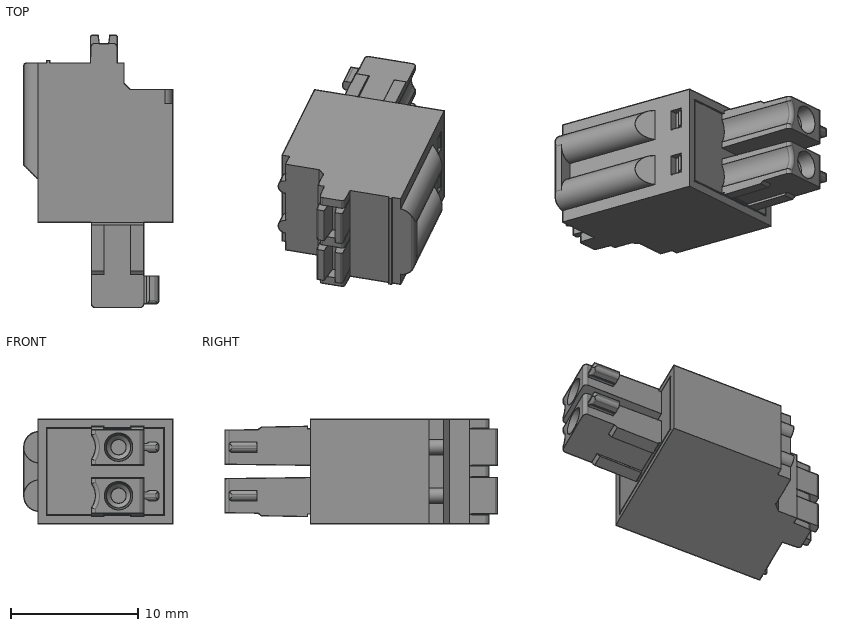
import cadquery as cq


body_width = 10.6
body_height = 8.22
body_depth = 12.52
pole_offset = 1.9
poles = (-1, 1)
overlap = 0.21
step_x = 6.76
step_chamfer = 0.5
right_depth = 10.45
rib_x = 0.68
rib_width = 0.25
rib_length = 0.2

seam_margin = 0.66
seam_width = 0.06
seam_depth = 0.1

ridge_radius = 1.25
ridge_height = 1.11
ridge_start = 3.4
ridge_rear_fillet = 0.24
web_length = 0.73

notch_pin_diameter = 1.2
notch_width = notch_pin_diameter / 2
notch_length = 1.11

tongue_left = 4.13
tongue_right = 6.25
tongue_top = 14.04
tongue_taper = 0.06
tongue_fillet = 0.24
latch_top = 14.7
latch_half_height = 1.43
latch_gap = 0.05
latch_fillet = 0.17
slot_bottom = 13.05
slot_bottom_width = 0.47
slot_top_width = 0.9

window_front = 0.83
window_length = 0.98
window_height = 1.58
window_depth = 0.65
tooth_height = 1.22
tooth_land = 0.3
tooth_ramp = 0.45
tooth_inset = 0.05

sleeve_left = 4.2
sleeve_right = 8.32
sleeve_length = 6.7
sleeve_root_half = 1.43
sleeve_tip_half = 1.35
tip_fillet = 0.32
groove_radius = 1.55
groove_depth = 0.32
bore_x = 6.33
bore_mouth_diameter = 2.23
bore_inner_diameter = 1.9
bore_length = 1.2
pilot_diameter = 1.2
collar_half = 1.45
rail_start = 0.21
rail_end = 3.83
rail_run_out = 4.15
rail_base_half = 1.07
rail_root_half = 1.65
rail_tip_half = 1.58
rail_left_width = 0.98
rail_right_width = 1.05

pin_length = 1.18
pin_rear = 4.2
pin_front = 6.4
pin_neck_length = 0.21
pin_flare_end = 0.43
pin_neck_half = 0.28
pin_head_half = 0.4
pin_end_fillet = 0.32
pin_front_fillet = 0.28
pin_corner_fillet = 0.25


def block(x0, x1, y0, y1, z0, z1):
    """Box given by its limits along each axis."""
    return cq.Workplane("XY").box(x1 - x0, y1 - y0, z1 - z0, centered=False).translate((x0, y0, z0))


def plan_prism(points, z0, z1):
    """Outline in X, Y extruded from z0 to z1."""
    return cq.Workplane("XY").workplane(offset=z0).polyline(points).close().extrude(z1 - z0)


def side_prism(points, x0, x1):
    """Outline in Y, Z extruded from x0 to x1."""
    return cq.Workplane("YZ").workplane(offset=x0).polyline(points).close().extrude(x1 - x0)


def front_cylinder(radius, x, z, y0, y1):
    """Cylinder along Y."""
    return cq.Workplane("XZ").workplane(offset=-y1).center(x, z).circle(radius).extrude(y1 - y0)


def make_housing():
    """Stepped housing block with a thin rib on its rear face."""
    half = body_height / 2
    outline = [
        (0, 0),
        (0, body_depth),
        (step_x, body_depth),
        (step_x, right_depth + step_chamfer),
        (step_x + step_chamfer, right_depth),
        (body_width, right_depth),
        (body_width, 0),
    ]
    housing = plan_prism(outline, -half, half)
    rib = block(rib_x, rib_x + rib_width, body_depth - overlap, body_depth + rib_length, -half, half)
    return housing.union(rib)


def make_seam():
    """Narrow rectangular groove in the front face."""
    x0, x1 = seam_margin, body_width - seam_margin
    z1 = body_height / 2 - seam_margin
    w = seam_width
    outer = block(x0, x1, 0, seam_depth, -z1, z1)
    inner = block(x0 + w, x1 - w, 0, seam_depth, w - z1, z1 - w)
    return outer.cut(inner)


def make_ridges():
    """Ridges and the web joining them, all trimmed by one plan outline."""
    center_x = ridge_radius - ridge_height
    ridges = block(-ridge_height, center_x, body_depth - web_length, body_depth, -pole_offset, pole_offset)
    for side in poles:
        ridges = ridges.union(
            front_cylinder(ridge_radius, center_x, side * pole_offset, ridge_start - center_x, body_depth)
        )
    trim = plan_prism(
        [
            (center_x, ridge_start - center_x),
            (-ridge_height, ridge_start + ridge_height),
            (-ridge_height, body_depth),
            (center_x, body_depth),
        ],
        -body_height / 2,
        body_height / 2,
    )
    trim = trim.edges("|Z and <X and >Y").fillet(ridge_rear_fillet)
    return ridges.intersect(trim)


def notch_corner(housing):
    """Cut the rear right corner and leave a round pin, flush with the side, at each pole."""
    half = body_height / 2
    x0, y0 = body_width - notch_width, right_depth - notch_length
    notch = block(x0, body_width, y0, right_depth, -half, half)
    for side in poles:
        notch = notch.cut(front_cylinder(notch_pin_diameter / 2, x0, side * pole_offset, y0, right_depth))
    return housing.cut(notch)


def make_tongue():
    """Tapered tongue behind the rear face, with a pocket for each latch."""
    half = body_height / 2
    outline = [
        (tongue_left, body_depth),
        (tongue_left + tongue_taper, tongue_top),
        (tongue_right - tongue_taper, tongue_top),
        (tongue_right, body_depth),
    ]
    tongue = plan_prism(outline, -half, half).edges("|Z and >Y").fillet(tongue_fillet)
    pocket_half = latch_half_height + latch_gap
    for side in poles:
        z = side * pole_offset
        tongue = tongue.cut(
            block(tongue_left, tongue_right, body_depth, tongue_top, z - pocket_half, z + pocket_half)
        )
    return tongue


def make_latch(z):
    """Forked latch with a tapered slot."""
    z0, z1 = z - latch_half_height, z + latch_half_height
    latch = block(tongue_left, tongue_right, body_depth, latch_top, z0, z1)
    latch = latch.edges("|Z and >Y").fillet(latch_fillet)
    middle = (tongue_left + tongue_right) / 2
    slot = plan_prism(
        [
            (middle - slot_bottom_width / 2, slot_bottom),
            (middle - slot_top_width / 2, latch_top),
            (middle + slot_top_width / 2, latch_top),
            (middle + slot_bottom_width / 2, slot_bottom),
        ],
        z0,
        z1,
    )
    return latch.cut(slot)


def make_window(z):
    """Window pocket, less the ramped tooth standing in it."""
    y0, y1 = window_front, window_front + window_length
    window = block(0, window_depth, y0, y1, z - window_height / 2, z + window_height / 2)
    ramp_start = y0 + tooth_land
    tooth = plan_prism(
        [
            (window_depth, y0),
            (tooth_inset, y0),
            (tooth_inset, ramp_start),
            (window_depth, ramp_start + tooth_ramp),
        ],
        z - tooth_height / 2,
        z + tooth_height / 2,
    )
    return window.cut(tooth)


def make_sleeve(z, side):
    """Contact sleeve; its collar and rails are on the side facing away from the mid plane."""
    sleeve = side_prism(
        [
            (overlap, z - sleeve_root_half),
            (0, z - sleeve_root_half),
            (-sleeve_length, z - sleeve_tip_half),
            (-sleeve_length, z + sleeve_tip_half),
            (0, z + sleeve_root_half),
            (overlap, z + sleeve_root_half),
        ],
        sleeve_left,
        sleeve_right,
    )
    groove_x = sleeve_left + groove_depth - groove_radius
    sleeve = sleeve.cut(front_cylinder(groove_radius, groove_x, z, -sleeve_length, 0))
    sleeve = sleeve.faces("<Y").edges("not |X").fillet(tip_fillet)

    rail_base = z + side * rail_base_half
    collar_z = sorted((rail_base, z + side * collar_half))
    collar = block(sleeve_left, sleeve_right, -rail_start, overlap, *collar_z)
    rail_outline = [
        (-rail_start, rail_base),
        (-rail_start, z + side * rail_root_half),
        (-rail_end, z + side * rail_tip_half),
        (-rail_run_out, z + side * sleeve_tip_half),
        (-rail_run_out, rail_base),
    ]
    left_rail = side_prism(rail_outline, sleeve_left, sleeve_left + rail_left_width)
    right_rail = side_prism(rail_outline, sleeve_right - rail_right_width, sleeve_right)
    return sleeve.union(collar).union(left_rail).union(right_rail)


def make_bore(z):
    """Tapered entry ending in a 45 degree cone and a flat floor."""
    mouth, inner, pilot = bore_mouth_diameter / 2, bore_inner_diameter / 2, pilot_diameter / 2
    floor = bore_length + inner - pilot
    profile = [(0, 0), (mouth, 0), (inner, bore_length), (pilot, floor), (0, floor)]
    bore = cq.Workplane("XY").polyline(profile).close().revolve(360, (0, 0), (0, 1))
    return bore.translate((bore_x, -sleeve_length, z))


def make_pin(z):
    """Coding pin: necked section with a rounded end, front and outer corner."""
    root_x = sleeve_right - overlap
    neck_x = sleeve_right + pin_neck_length
    flare_x = sleeve_right + pin_flare_end
    end_x = sleeve_right + pin_length
    upper = [
        (root_x, pin_neck_half),
        (neck_x, pin_neck_half),
        (flare_x, pin_head_half),
        (end_x, pin_head_half),
    ]
    lower = [(x, -half) for x, half in reversed(upper)]
    section = cq.Workplane("XZ").workplane(offset=pin_rear).polyline(upper + lower).close()
    section = section.extrude(pin_front - pin_rear).edges("|Y and >X").fillet(pin_end_fillet)

    envelope = block(root_x, end_x, -pin_front, -pin_rear, -pin_head_half, pin_head_half)
    rounded_front = envelope.edges("|X and <Y").fillet(pin_front_fillet)
    rounded_corner = envelope.edges("|Z and <Y and >X").fillet(pin_corner_fillet)
    return section.intersect(rounded_front).intersect(rounded_corner).translate((0, 0, z))


result = notch_corner(make_housing()).union(make_ridges()).union(make_tongue()).cut(make_seam())
for side in poles:
    z = side * pole_offset
    result = result.union(make_latch(z)).cut(make_window(z))
    result = result.union(make_sleeve(z, side)).union(make_pin(z)).cut(make_bore(z))